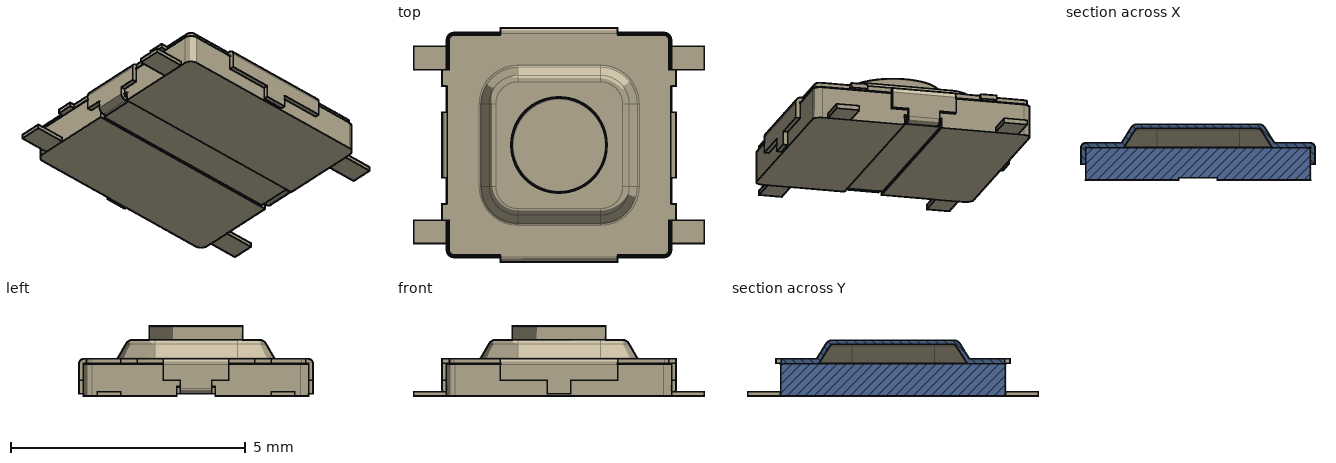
import cadquery as cq
import math

TERMINAL_SPAN = 6.2
COVER_SIZE = 5.0
TOTAL_HEIGHT = 1.5
COVER_TOP = 0.8
SHEET = 0.1

BASE_SIZE = COVER_SIZE - 2 * SHEET
BASE_HEIGHT = COVER_TOP - SHEET
BASE_CORNER_RADIUS = 0.175
BASE_TOP_CHAMFER = 0.025

PLATE_SIZE = 4.69
PLATE_CORNER_RADIUS = 0.105
WAIST_WIDTH = 4.775
LUG_INNER_Y = 1.25
LUG_OUTER_Y = 1.605

BEND_RADIUS = 0.12
FLANGE_BOTTOM = 0.335
TONGUE_BOTTOM = 0.05
END_FLANGE_WIDTH = 2.5
END_TONGUE_WIDTH = 0.5
SIDE_FLANGE_WIDTH = 1.4
SIDE_TONGUE_WIDTH = 0.68
HOOK_REACH = 0.2

LATCH_WIDTH = 0.82
LATCH_HEIGHT = 0.22
LATCH_CORNER_CHAMFER = 0.025

DOME_TOP = 1.2
DOME_FOOT_SIZE = 3.355
DOME_STRAIGHT_LENGTH = 1.76
DOME_TAPER = 30.0
DOME_CROWN_RADIUS = 0.16
DOME_FOOT_RADIUS = 0.05

BUTTON_DIAMETER = 2.0
BUTTON_HOLE_DIAMETER = 2.05
BUTTON_EDGE_RADIUS = 0.02

TERMINAL_WIDTH = 0.5
TERMINAL_Y = 1.855

COVER_HALF = COVER_SIZE / 2
HALF_TURN = 180
QUARTER_TURN = 90


def block(x_size, y_size, z_low, z_high, y_centre=0.0):
    """Block centred on X = 0 and on y_centre, between two heights."""
    return (
        cq.Workplane("XY", origin=(0, y_centre, z_low))
        .rect(x_size, y_size)
        .extrude(z_high - z_low)
    )


def turned(shape, angle):
    """Copy of a shape turned about the Z axis."""
    return shape.rotate((0, 0, 0), (0, 0, 1), angle)


def latch_pocket():
    """Space for the hook on the +X side, open outwards and downwards."""
    inner_wall = COVER_HALF - HOOK_REACH
    return (
        cq.Workplane("XZ")
        .moveTo(COVER_HALF, 0)
        .lineTo(COVER_HALF, LATCH_HEIGHT)
        .lineTo(inner_wall + LATCH_CORNER_CHAMFER, LATCH_HEIGHT)
        .lineTo(inner_wall, LATCH_HEIGHT - LATCH_CORNER_CHAMFER)
        .lineTo(inner_wall, 0)
        .close()
        .extrude(LATCH_WIDTH / 2, both=True)
    )


def button():
    """Round button rising from the top of the base."""
    return (
        cq.Workplane("XY", origin=(0, 0, BASE_HEIGHT))
        .circle(BUTTON_DIAMETER / 2)
        .extrude(TOTAL_HEIGHT - BASE_HEIGHT)
        .faces(">Z")
        .edges()
        .fillet(BUTTON_EDGE_RADIUS)
    )


def make_base():
    base = block(BASE_SIZE, BASE_SIZE, 0, BASE_HEIGHT)
    base = base.edges("|Z").fillet(BASE_CORNER_RADIUS)
    base = base.faces(">Z").edges().chamfer(BASE_TOP_CHAMFER)
    base = base.cut(block(BASE_SIZE, LATCH_WIDTH, 0, TONGUE_BOTTOM))
    for angle in (0, HALF_TURN):
        base = base.cut(turned(latch_pocket(), angle))
    return base.union(button())


def tapered_dome(foot_z, top_z, inset, crown_radius):
    """Solid dome with its foot at foot_z, each side moved inwards by inset."""
    size = DOME_FOOT_SIZE - 2 * inset
    corner_radius = (size - DOME_STRAIGHT_LENGTH) / 2
    return (
        cq.Workplane("XY", origin=(0, 0, foot_z))
        .sketch()
        .rect(size, size)
        .vertices()
        .fillet(corner_radius)
        .finalize()
        .extrude(top_z - foot_z, taper=DOME_TAPER)
        .faces(">Z")
        .edges()
        .fillet(crown_radius)
    )


def cover_plate():
    """Flat plate with a waist on the -X and +X sides and a pair of lugs beyond it."""
    plate = block(PLATE_SIZE, PLATE_SIZE, BASE_HEIGHT, COVER_TOP)
    plate = plate.edges("|Z").fillet(PLATE_CORNER_RADIUS)
    plate = plate.union(block(WAIST_WIDTH, 2 * LUG_INNER_Y, BASE_HEIGHT, COVER_TOP))
    lug_width = LUG_OUTER_Y - LUG_INNER_Y
    lug_y = (LUG_OUTER_Y + LUG_INNER_Y) / 2
    for side in (-1, 1):
        plate = plate.union(block(COVER_SIZE, lug_width, BASE_HEIGHT, COVER_TOP, side * lug_y))
    return plate


def raise_dome(plate):
    """Add the dome, round its foot, hollow it and open it for the button."""
    raised = plate.union(tapered_dome(COVER_TOP, DOME_TOP, 0, DOME_CROWN_RADIUS))
    reach = DOME_FOOT_SIZE / 2 + SHEET
    foot_edges = cq.selectors.BoxSelector(
        (-reach, -reach, COVER_TOP - SHEET / 2),
        (reach, reach, COVER_TOP + SHEET / 2),
    )
    raised = raised.edges(foot_edges).fillet(DOME_FOOT_RADIUS)
    slope = math.radians(DOME_TAPER)
    inset = SHEET / math.cos(slope) - SHEET * math.tan(slope)
    inside = tapered_dome(BASE_HEIGHT, DOME_TOP - SHEET, inset, DOME_CROWN_RADIUS - SHEET)
    hole = cq.Workplane("XY").circle(BUTTON_HOLE_DIAMETER / 2).extrude(TOTAL_HEIGHT)
    return raised.cut(inside).cut(hole)


def flange(width):
    """Flange on the +X side, bent down from the plate."""
    inner = COVER_HALF - SHEET
    root = PLATE_SIZE / 2 - SHEET
    return (
        cq.Workplane("XZ")
        .moveTo(root, COVER_TOP)
        .lineTo(COVER_HALF - BEND_RADIUS, COVER_TOP)
        .radiusArc((COVER_HALF, COVER_TOP - BEND_RADIUS), BEND_RADIUS)
        .lineTo(COVER_HALF, FLANGE_BOTTOM)
        .lineTo(inner, FLANGE_BOTTOM)
        .lineTo(inner, BASE_HEIGHT)
        .lineTo(root, BASE_HEIGHT)
        .close()
        .extrude(width / 2, both=True)
    )


def straight_tongue(width):
    """Narrow tongue below the +X flange."""
    return (
        cq.Workplane("XZ")
        .moveTo(COVER_HALF, FLANGE_BOTTOM)
        .lineTo(COVER_HALF, TONGUE_BOTTOM)
        .lineTo(COVER_HALF - SHEET, TONGUE_BOTTOM)
        .lineTo(COVER_HALF - SHEET, FLANGE_BOTTOM)
        .close()
        .extrude(width / 2, both=True)
    )


def hooked_tongue(width):
    """Narrow tongue below the +X flange, turned inwards under the base."""
    tip = COVER_HALF - HOOK_REACH
    hook_top = TONGUE_BOTTOM + SHEET
    return (
        cq.Workplane("XZ")
        .moveTo(COVER_HALF, FLANGE_BOTTOM)
        .lineTo(COVER_HALF, TONGUE_BOTTOM + BEND_RADIUS)
        .radiusArc((COVER_HALF - BEND_RADIUS, TONGUE_BOTTOM), BEND_RADIUS)
        .lineTo(tip, TONGUE_BOTTOM)
        .lineTo(tip, hook_top)
        .lineTo(COVER_HALF - SHEET, hook_top)
        .lineTo(COVER_HALF - SHEET, FLANGE_BOTTOM)
        .close()
        .extrude(width / 2, both=True)
    )


def make_cover():
    cover = raise_dome(cover_plate())
    side_flange = flange(SIDE_FLANGE_WIDTH).union(hooked_tongue(SIDE_TONGUE_WIDTH))
    end_flange = flange(END_FLANGE_WIDTH).union(straight_tongue(END_TONGUE_WIDTH))
    for angle in (0, HALF_TURN):
        cover = cover.union(turned(side_flange, angle))
        cover = cover.union(turned(end_flange, angle + QUARTER_TURN))
    return cover


def make_terminal(x_side, y_side):
    length = (TERMINAL_SPAN - BASE_SIZE) / 2
    x_centre = (TERMINAL_SPAN - length) / 2
    lead = block(length, TERMINAL_WIDTH, 0, SHEET)
    return lead.translate((x_side * x_centre, y_side * TERMINAL_Y, 0))


base = make_base()
cover = make_cover()
terminals = [make_terminal(x_side, y_side) for x_side in (-1, 1) for y_side in (-1, 1)]

result = cq.Compound.makeCompound(
    [base.val(), cover.val(), *[terminal.val() for terminal in terminals]]
)